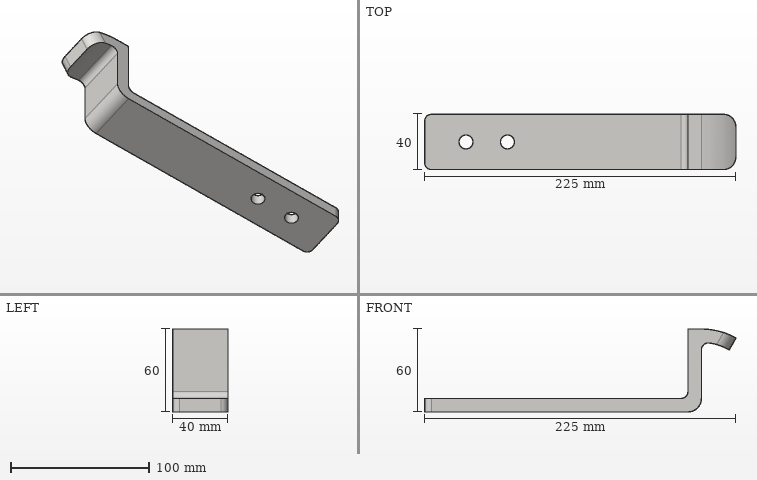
import cadquery as cq
import math

length = 225.0
width = 40.0
height = 60.0
thickness = 10.0

lip_radius = 50.0
lip_angle = 30.0

inner_bend_radius = 5.0
outer_bend_radius = 10.0
lip_root_radius = 5.0
foot_corner_radius = 5.0
tip_corner_radius = 10.0

hole_diameter = 10.0
first_hole_x = 30.0
hole_spacing = 30.0
hole_count = 2

upright_outer_x = length - lip_radius * math.sin(math.radians(lip_angle))
upright_inner_x = upright_outer_x - thickness
lip_center_z = height - lip_radius
lip_inner_radius = lip_radius - thickness


def lip_point(radius, angle):
    """Return the XZ point on a lip arc, with the angle measured from vertical in degrees."""
    turn = math.radians(angle)
    return (upright_outer_x + radius * math.sin(turn), lip_center_z + radius * math.cos(turn))


def bent_strip():
    """Extrude the side profile of the strip across its width."""
    profile = (
        cq.Workplane("XZ")
        .lineTo(upright_outer_x, 0)
        .lineTo(*lip_point(lip_inner_radius, 0))
        .threePointArc(lip_point(lip_inner_radius, lip_angle / 2), lip_point(lip_inner_radius, lip_angle))
        .lineTo(*lip_point(lip_radius, lip_angle))
        .threePointArc(lip_point(lip_radius, lip_angle / 2), lip_point(lip_radius, 0))
        .lineTo(upright_inner_x, height)
        .lineTo(upright_inner_x, thickness)
        .lineTo(0, thickness)
        .close()
    )
    return profile.extrude(width / 2, both=True)


def round_cross_edge(body, x, z, radius):
    """Round the edge that runs across the strip through the given XZ point."""
    edge = cq.selectors.NearestToPointSelector((x, 0, z))
    return body.edges("|Y").edges(edge).fillet(radius)


def round_bends(body):
    body = round_cross_edge(body, upright_inner_x, thickness, inner_bend_radius)
    body = round_cross_edge(body, upright_outer_x, 0, outer_bend_radius)
    return round_cross_edge(body, *lip_point(lip_inner_radius, 0), lip_root_radius)


def round_end_corners(body):
    body = body.faces("<X").edges("|Z").fillet(foot_corner_radius)
    turn = math.radians(lip_angle)
    along_tip = cq.selectors.ParallelDirSelector(cq.Vector(math.sin(turn), 0, math.cos(turn)))
    return body.edges(along_tip).fillet(tip_corner_radius)


def mounting_holes():
    centers = [(first_hole_x + i * hole_spacing, 0) for i in range(hole_count)]
    return cq.Workplane("XY").pushPoints(centers).circle(hole_diameter / 2).extrude(thickness)


result = round_end_corners(round_bends(bent_strip())).cut(mounting_holes())